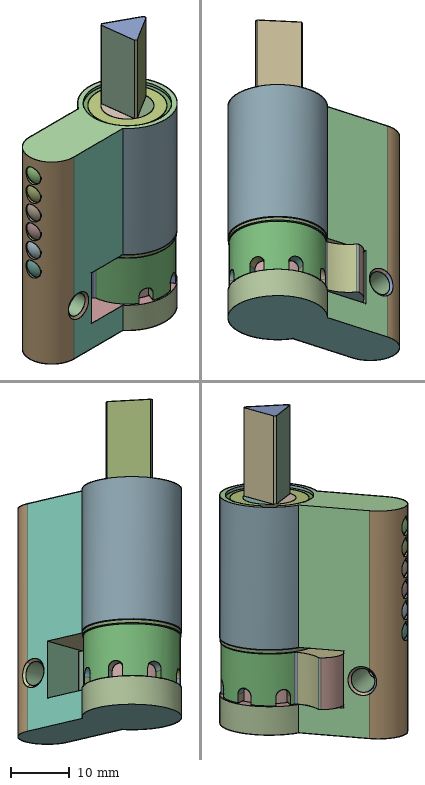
import cadquery as cq
import math


barrel_diameter = 16.95
stem_width = 10.0
stem_round_y = -19.4
housing_height = 40.0
recess_diameter = 15.0
recess_depth = 0.5
plug_bore_diameter = 13.5

slot_bottom = 5.0
slot_top = 15.0
slot_end_y = -14.85

screw_hole_diameter = 4.2
screw_hole_chamfer = 0.45
screw_hole_y = -18.15
screw_hole_z = 10.0

cam_diameter = 16.5
cam_bottom_clearance = 0.1
cam_bottom = slot_bottom + cam_bottom_clearance
cam_top = 14.2
bit_tilt = -20.0
bit_root_half_width = 2.7
bit_neck_half_width = 2.6
bit_neck_reach = 11.2
bit_tip_half_width = 3.35
bit_tip_reach = 13.25
bit_end_reach = 15.05
bit_root_fillet = 0.55
bit_tip_fillet = 0.5

plug_diameter = 13.4
flange_diameter = 16.8
flange_thickness = 0.55
flange_clearance = 0.1
flange_top = slot_top - flange_clearance
flange_bottom = flange_top - flange_thickness
journal_diameter = 12.7
plug_top = housing_height - recess_depth

driver_top = 55.0
shank_diameter = 9.0
triangle_inradius = 2.5

notch_width = 2.6
notch_height = 2.85
notch_count = 6
notch_pitch = 48.0
first_notch_angle = -145.6

pin_diameter = 3.3
pin_count = 6
pin_row_length = 18.5
top_pin_z = 36.5
pin_dome_height = 0.65

stem_radius = stem_width / 2
pin_radius = pin_diameter / 2
pin_tip_y = -24.6
pin_inner_y = stem_round_y
pin_dome_radius = (pin_radius**2 + pin_dome_height**2) / (2 * pin_dome_height)
pin_pitch = pin_row_length / (pin_count - 1)
pin_heights = [top_pin_z - i * pin_pitch for i in range(pin_count)]


def cylinder(diameter, bottom, top):
    """Solid cylinder on the barrel axis."""
    return cq.Workplane("XY").workplane(offset=bottom).circle(diameter / 2).extrude(top - bottom)


def box_between(x_size, y_min, y_max, z_min, z_max):
    """Box centred on X."""
    box = cq.Workplane("XY").box(x_size, y_max - y_min, z_max - z_min, centered=(True, False, False))
    return box.translate((0, y_min, z_min))


def make_housing_blank():
    """Pear-shaped outline of the barrel and the round-ended stem, extruded to full height."""
    barrel_radius = barrel_diameter / 2
    joint_y = -math.sqrt(barrel_radius**2 - stem_radius**2)
    return (
        cq.Workplane("XY")
        .moveTo(stem_radius, joint_y)
        .threePointArc((0, barrel_radius), (-stem_radius, joint_y))
        .lineTo(-stem_radius, stem_round_y)
        .threePointArc((0, stem_round_y - stem_radius), (stem_radius, stem_round_y))
        .close()
        .extrude(housing_height)
    )


def cut_screw_hole(body):
    """Through hole along X, chamfered at both sides of the stem."""
    hole = (
        cq.Workplane("YZ", origin=(0, screw_hole_y, screw_hole_z))
        .circle(screw_hole_diameter / 2)
        .extrude(stem_width, both=True)
    )
    reach = screw_hole_diameter / 2 + screw_hole_chamfer
    rim_edges = cq.selectors.BoxSelector(
        (-stem_width, screw_hole_y - reach, screw_hole_z - reach),
        (stem_width, screw_hole_y + reach, screw_hole_z + reach),
        boundingbox=True,
    )
    drilled = body.cut(hole)
    return drilled.edges(rim_edges).edges("not #Y").chamfer(screw_hole_chamfer)


def pin_cylinder(z, length):
    """Cylinder of the pin diameter, running outwards along -Y from the inner end of a pin."""
    return cq.Workplane("XZ", origin=(0, pin_inner_y, z)).circle(pin_radius).extrude(length)


def make_housing():
    body = make_housing_blank()
    cam_slot = box_between(2 * barrel_diameter, slot_end_y, barrel_diameter, slot_bottom, slot_top)
    body = body.cut(cam_slot)
    body = body.cut(cylinder(plug_bore_diameter, slot_top, housing_height))
    body = body.cut(cylinder(recess_diameter, plug_top, housing_height))
    body = cut_screw_hole(body)
    for z in pin_heights:
        body = body.cut(pin_cylinder(z, stem_width))
    return body


def make_plug():
    plug = cylinder(plug_diameter, slot_top, plug_top)
    plug = plug.union(cylinder(flange_diameter, flange_bottom, flange_top))
    plug = plug.union(cylinder(journal_diameter, slot_bottom, slot_top))
    return plug.cut(cylinder(shank_diameter, slot_bottom, plug_top))


def make_driver():
    shank = cylinder(shank_diameter, slot_bottom, plug_top)
    corner_radius = 2 * triangle_inradius
    corners = [
        (corner_radius * math.cos(math.radians(a)), corner_radius * math.sin(math.radians(a)))
        for a in (90, 210, 330)
    ]
    prism = (
        cq.Workplane("XY").workplane(offset=plug_top).polyline(corners).close()
        .extrude(driver_top - plug_top)
    )
    triangle_end = prism.intersect(cylinder(shank_diameter, plug_top, driver_top))
    return shank.union(triangle_end)


def mirrored_edges(x, y):
    """Selector for the two vertical cam edges at (x, y) and (-x, y)."""
    z_mid = (cam_bottom + cam_top) / 2
    margin = 0.05
    boxes = [
        cq.selectors.BoxSelector(
            (side * x - margin, y - margin, z_mid - margin),
            (side * x + margin, y + margin, z_mid + margin),
        )
        for side in (-1, 1)
    ]
    return boxes[0] + boxes[1]


def make_cam_blank():
    """Disc and bit in one piece, the bit pointing to -Y, with filleted root and tip edges."""
    root_reach = math.sqrt((cam_diameter / 2) ** 2 - bit_root_half_width**2)
    bit = (
        cq.Workplane("XY").workplane(offset=cam_bottom)
        .moveTo(-bit_root_half_width, 0)
        .lineTo(-bit_root_half_width, -root_reach)
        .threePointArc((-bit_neck_half_width, -bit_neck_reach), (-bit_tip_half_width, -bit_tip_reach))
        .threePointArc((0, -bit_end_reach), (bit_tip_half_width, -bit_tip_reach))
        .threePointArc((bit_neck_half_width, -bit_neck_reach), (bit_root_half_width, -root_reach))
        .lineTo(bit_root_half_width, 0)
        .close()
        .extrude(cam_top - cam_bottom)
    )
    cam = cylinder(cam_diameter, cam_bottom, cam_top).union(bit)
    cam = cam.edges(mirrored_edges(bit_root_half_width, -root_reach)).fillet(bit_root_fillet)
    return cam.edges(mirrored_edges(bit_tip_half_width, -bit_tip_reach)).fillet(bit_tip_fillet)


def notch_cutter(angle):
    """Notch with a half-round top, cut from the outside of the ring to the axis at an angle from +X."""
    radius = notch_width / 2
    straight_height = notch_height - radius
    notch = (
        cq.Workplane("YZ", origin=(0, 0, slot_bottom))
        .moveTo(-radius, 0)
        .lineTo(-radius, straight_height)
        .threePointArc((0, notch_height), (radius, straight_height))
        .lineTo(radius, 0)
        .close()
        .extrude(cam_diameter)
    )
    return notch.rotate((0, 0, 0), (0, 0, 1), angle)


def make_cam():
    cam = make_cam_blank().rotate((0, 0, 0), (0, 0, 1), bit_tilt)
    cam = cam.cut(cylinder(journal_diameter, cam_bottom, cam_top))
    for i in range(notch_count):
        cam = cam.cut(notch_cutter(first_notch_angle - i * notch_pitch))
    return cam


def make_pin(z):
    """Pin with a domed outer end, the dome being a cap of a larger sphere."""
    ball_y = pin_tip_y + pin_dome_radius
    ball = cq.Workplane("XY").sphere(pin_dome_radius).translate((0, ball_y, z))
    dome_zone = pin_cylinder(z, pin_inner_y - pin_tip_y)
    rim_y = pin_tip_y + pin_dome_height
    shank = pin_cylinder(z, pin_inner_y - rim_y)
    return dome_zone.intersect(ball).union(shank)


housing = make_housing()
plug = make_plug()
driver = make_driver()
cam = make_cam()
pins = [make_pin(z) for z in pin_heights]

result = cq.Compound.makeCompound(
    [housing.val(), plug.val(), driver.val(), cam.val(), *[pin.val() for pin in pins]]
)